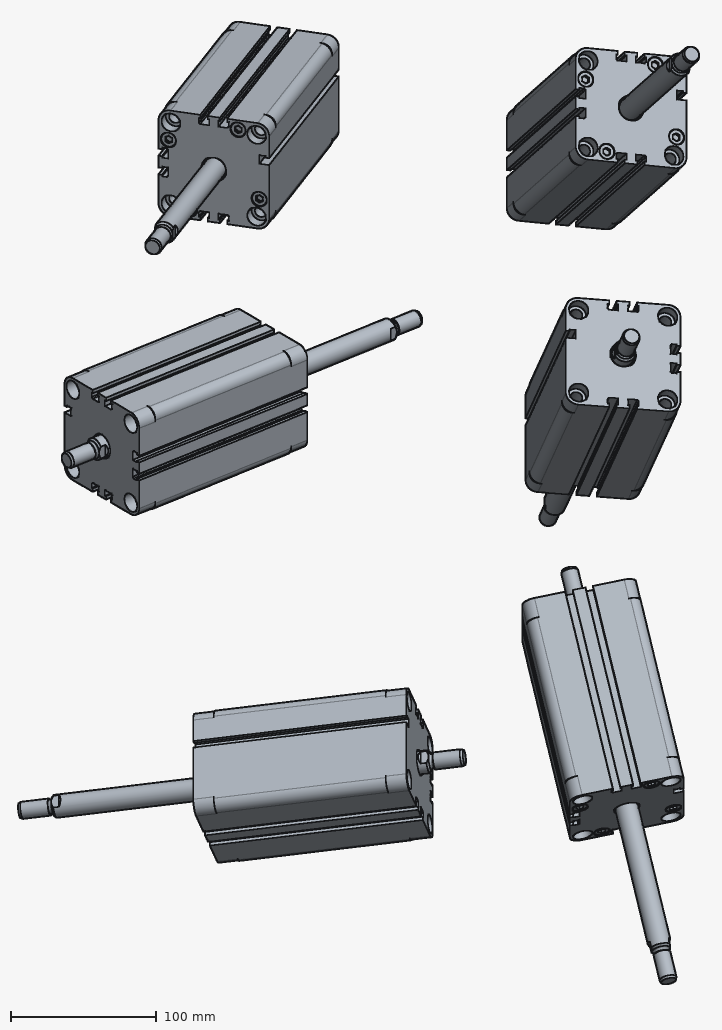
import cadquery as cq
import math

side = 80.0
half_side = side / 2
body_length = 150.0
cap_length = 14.5
cap_corner_radius = 8.5
barrel_corner_radius = 7.4

mount_offset = 31.0
mount_bore = 8.57
mount_counterbore = 13.5
mount_counterbore_depth = 9.0

screw_near = 17.5
screw_far = 32.8
screw_recess = 11.1
screw_head = 10.5
screw_recess_depth = 6.0
screw_head_gap = 0.5
socket_across_flats = 5.0
socket_depth = 3.0

slot_offset = 7.1
slot_depth = 7.0
slot_mouth = 5.2
slot_inner_width = 7.4
slot_lip = 2.6
slot_corner_chamfer = 1.0
side_slot_offset = 12.0
side_slot_inner_width = 6.4

overall_length = 313.0
stroke = 100.0
rod_diameter = 16.0
flats_across = 13.0
rod_end_chamfer = (rod_diameter - flats_across) / 2
flats_length = 5.5
thread_diameter = 12.0
thread_tip_diameter = 10.5
thread_tip_length = 1.8
thread_length = 21.0
relief_diameter = 10.0
relief_length = 2.7
rod_seal_bore = 18.0
rod_seal_depth = 2.0

end_projection = (overall_length - body_length - stroke) / 2
front_tip = -(stroke + end_projection)
rear_tip = body_length + end_projection
shoulder_setback = thread_length + relief_length


def square_bar(length, corner_radius, y_start):
    """Square bar with rounded long edges, running toward +Y."""
    bar = cq.Workplane("XY").box(side, length, side)
    return bar.edges("|Y").fillet(corner_radius).translate((0, y_start + length / 2, 0))


def cylinder(diameter, length, x, y_start, z):
    """Cylinder along +Y."""
    axis = cq.Vector(0, 1, 0)
    return cq.Workplane(cq.Solid.makeCylinder(diameter / 2, length, cq.Vector(x, y_start, z), axis))


def make_body():
    barrel_length = body_length - 2 * cap_length
    body = square_bar(barrel_length, barrel_corner_radius, cap_length)
    for y_start in (0, body_length - cap_length):
        body = body.union(square_bar(cap_length, cap_corner_radius, y_start))
    return body


def extrude_slot(points):
    """Turn an X-Z outline into a cutter through the whole body length."""
    return cq.Workplane("XZ").polyline(points).close().extrude(-body_length)


def t_slot(center):
    """Slot in the +Z face; its floor corner away from the middle is chamfered."""
    mouth_near = center - slot_mouth / 2
    mouth_far = center + slot_mouth / 2
    inner_near = center - slot_inner_width / 2
    inner_far = center + slot_inner_width / 2
    lip_z = half_side - slot_lip
    floor_z = half_side - slot_depth
    return extrude_slot([
        (mouth_near, half_side),
        (mouth_near, lip_z),
        (inner_near, lip_z),
        (inner_near, floor_z),
        (inner_far - slot_corner_chamfer, floor_z),
        (inner_far, floor_z + slot_corner_chamfer),
        (inner_far, lip_z),
        (mouth_far, lip_z),
        (mouth_far, half_side),
    ])


def side_slot():
    """Slot in the +X face, undercut only on its upper side."""
    lower = side_slot_offset - slot_mouth / 2
    mouth_upper = side_slot_offset + slot_mouth / 2
    inner_upper = lower + side_slot_inner_width
    lip_x = half_side - slot_lip
    floor_x = half_side - slot_depth
    return extrude_slot([
        (half_side, lower),
        (floor_x, lower),
        (floor_x, inner_upper),
        (lip_x, inner_upper),
        (lip_x, mouth_upper),
        (half_side, mouth_upper),
    ])


def cut_slots(body):
    slot_right = t_slot(slot_offset)
    slot_pair = slot_right.union(slot_right.mirror("YZ"))
    for angle in (0, 180, -90):
        body = body.cut(slot_pair.rotate((0, 0, 0), (0, 1, 0), angle))
    return body.cut(side_slot())


def cut_mount_holes(body):
    for x in (-mount_offset, mount_offset):
        for z in (-mount_offset, mount_offset):
            body = body.cut(cylinder(mount_bore, body_length, x, 0, z))
            for y_start in (0, body_length - mount_counterbore_depth):
                body = body.cut(cylinder(mount_counterbore, mount_counterbore_depth, x, y_start, z))
    return body


def screw_cutter(x, z):
    """Ring gap round a cap screw head, with the hexagon socket of the screw (two corners along Z)."""
    gap = cylinder(screw_recess, screw_recess_depth, x, 0, z)
    head_length = screw_recess_depth - screw_head_gap
    gap = gap.cut(cylinder(screw_head, head_length, x, screw_head_gap, z))
    socket = (
        cq.Workplane("XZ")
        .center(x, z)
        .transformed(rotate=(0, 0, 30))
        .polygon(6, socket_across_flats / math.cos(math.pi / 6))
        .extrude(-socket_depth)
    )
    return gap.union(socket)


def cut_screws(body):
    """Four screws, each a quarter turn about the rod axis from the next."""
    x, z = screw_near, screw_far
    for _ in range(4):
        body = body.cut(screw_cutter(x, z))
        x, z = z, -x
    return body


def cut_rod_seats(body):
    for y_start in (0, body_length - rod_seal_depth):
        body = body.cut(cylinder(rod_seal_bore, rod_seal_depth, 0, y_start, 0))
    return body


def flat_cutter(tip, inward):
    """Wrench flat on the +X side of a rod end, with a 45 degree run-out."""
    flat_x = flats_across / 2
    outer_x = rod_diameter / 2
    start = tip + inward * shoulder_setback
    end = start + inward * flats_length
    run_out = end + inward * (outer_x - flat_x)
    outline = [(flat_x, start), (flat_x, end), (outer_x, run_out), (outer_x, start)]
    return cq.Workplane("XY").polyline(outline).close().extrude(rod_diameter / 2, both=True)


def make_rod_end(tip, inward):
    """Threaded rod end from its tip to mid-rod; inward is the Y direction into the rod."""
    rod_radius = rod_diameter / 2
    thread_radius = thread_diameter / 2
    relief_radius = relief_diameter / 2
    shoulder_radius = rod_radius - rod_end_chamfer
    fillet = shoulder_radius - relief_radius
    fillet_reach = fillet * (1 - math.sqrt(0.5))

    def at(radius, distance):
        return (radius, tip + inward * distance)

    half_outline = (
        cq.Workplane("XY")
        .moveTo(*at(0, 0))
        .lineTo(*at(thread_tip_diameter / 2, 0))
        .lineTo(*at(thread_radius, thread_tip_length))
        .lineTo(*at(thread_radius, thread_length))
        .lineTo(*at(relief_radius, thread_length))
        .lineTo(*at(relief_radius, shoulder_setback - fillet))
        .threePointArc(
            at(relief_radius + fillet_reach, shoulder_setback - fillet_reach),
            at(shoulder_radius, shoulder_setback),
        )
        .lineTo(*at(rod_radius, shoulder_setback + rod_end_chamfer))
        .lineTo(*at(rod_radius, overall_length / 2))
        .lineTo(*at(0, overall_length / 2))
        .close()
    )
    rod_end = half_outline.revolve(360, (0, 0, 0), (0, 1, 0))
    flat = flat_cutter(tip, inward)
    return rod_end.cut(flat).cut(flat.mirror("YZ"))


def make_rod():
    return make_rod_end(front_tip, 1).union(make_rod_end(rear_tip, -1))


body = make_body()
body = cut_slots(body)
body = cut_mount_holes(body)
body = cut_screws(body)
body = cut_rod_seats(body)
result = body.union(make_rod())